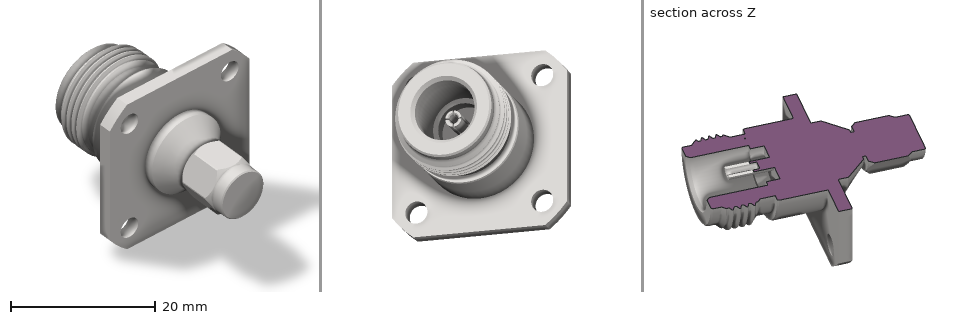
import cadquery as cq
import math


barrel_radius = 6.86
mouth_chamfer = 0.25
collar_start = 1.5
collar_end = 7.12

thread_crest_radius = 7.95
thread_root_radius = 7.35
thread_pitch = 25.4 / 24
thread_crest_width = 0.13
thread_base_width = 0.75
thread_overlap = 0.1
trim_clearance = 0.05
helix_start = 0.97
helix_turns = 6.5

shoulder_radius = 7.94
shoulder_start = 9.28
shoulder_chamfer_length = 0.25
shoulder_chamfer_height = 0.12

flange_side = 25.4
flange_corner_radius = 15.9
flange_start = 16.64
flange_thickness = 2.06
flange_end = flange_start + flange_thickness
mount_hole_diameter = 3.2
mount_hole_spacing = 18.26

rear_radius = 6.27
cone_start = 20.15
cone_end = 23.37
cone_end_radius = 3.24
neck_radius = 2.72

nut_start = 23.8
nut_end = 30.2
nut_across_flats = 7.88
nut_corner_radius = 4.49
nut_end_radius = 3.86
nut_chamfer_length = 0.75
sleeve_radius = 3.86
sleeve_chamfer = 0.17
total_length = 32.23

socket_radius = 4.33
socket_mouth_radius = 4.84
socket_depth = 9.0
inner_bore_radius = 3.58
inner_bore_end = 11.0
contact_radius = 1.17
contact_start = 4.5
contact_bore_radius = 0.67
contact_bore_mouth_radius = 0.86
contact_bore_end = 9.0
slot_width = 0.2
slot_end = 8.0


def turned(profile):
    """Revolve a closed (x, radius) outline about the X axis."""
    return cq.Workplane("XY").polyline(profile).close().revolve(360, (0, 0, 0), (1, 0, 0))


def cylinder(start, end, radius):
    return cq.Workplane("YZ", origin=(start, 0, 0)).circle(radius).extrude(end - start)


def make_barrel():
    return turned([
        (0, 0),
        (0, barrel_radius - mouth_chamfer),
        (mouth_chamfer, barrel_radius),
        (shoulder_start, barrel_radius),
        (shoulder_start, shoulder_radius - shoulder_chamfer_height),
        (shoulder_start + shoulder_chamfer_length, shoulder_radius),
        (flange_start, shoulder_radius),
        (flange_start, 0),
    ])


def make_collar(radius):
    """Round collar with 45 degree ends that rise from the barrel surface."""
    rise = radius - barrel_radius
    return turned([
        (collar_start, 0),
        (collar_start, barrel_radius),
        (collar_start + rise, radius),
        (collar_end - rise, radius),
        (collar_end, barrel_radius),
        (collar_end, 0),
    ])


def make_thread():
    """Right-hand helical ridge on a root cylinder, both trimmed by a collar with 45 degree ends."""
    helix = cq.Wire.makeHelix(thread_pitch, helix_turns * thread_pitch, thread_root_radius)
    flank_slope = (thread_base_width - thread_crest_width) / 2 / (thread_crest_radius - thread_root_radius)
    half_crest = thread_crest_width / 2
    half_foot = thread_base_width / 2 + thread_overlap * flank_slope
    foot_radius = thread_root_radius - thread_overlap
    ridge = (
        cq.Workplane("XZ")
        .polyline([
            (foot_radius, -half_foot),
            (thread_crest_radius, -half_crest),
            (thread_crest_radius, half_crest),
            (foot_radius, half_foot),
        ])
        .close()
        .sweep(cq.Workplane(obj=helix), isFrenet=True)
    )
    ridge = ridge.rotate((0, 0, 0), (0, 1, 0), 90).translate((helix_start, 0, 0))
    root = cylinder(0, shoulder_start, thread_root_radius)
    return root.union(ridge).intersect(make_collar(thread_crest_radius + trim_clearance))


def make_flange():
    """Square plate whose corners are rounded off by a large concentric circle."""
    plate = (
        cq.Workplane("YZ", origin=(flange_start, 0, 0))
        .rect(flange_side, flange_side)
        .extrude(flange_thickness)
        .intersect(cylinder(flange_start, flange_end, flange_corner_radius))
    )
    holes = (
        cq.Workplane("YZ", origin=(flange_start, 0, 0))
        .rect(mount_hole_spacing, mount_hole_spacing, forConstruction=True)
        .vertices()
        .circle(mount_hole_diameter / 2)
        .extrude(flange_thickness)
    )
    return plate.cut(holes)


def make_rear_body():
    return turned([
        (flange_end, 0),
        (flange_end, rear_radius),
        (cone_start, rear_radius),
        (cone_end, cone_end_radius),
        (cone_end, neck_radius),
        (nut_start, neck_radius),
        (nut_start, 0),
    ])


def make_nut():
    """Hexagon with flats facing +Z and -Z, turned corners and conical ends."""
    across_corners = nut_across_flats / math.cos(math.pi / 6)
    hexagon = (
        cq.Workplane("YZ", origin=(nut_start, 0, 0))
        .polygon(6, across_corners)
        .extrude(nut_end - nut_start)
    )
    envelope = turned([
        (nut_start, 0),
        (nut_start, nut_end_radius),
        (nut_start + nut_chamfer_length, nut_corner_radius),
        (nut_end - nut_chamfer_length, nut_corner_radius),
        (nut_end, nut_end_radius),
        (nut_end, 0),
    ])
    return hexagon.intersect(envelope)


def make_sleeve():
    return turned([
        (nut_end, 0),
        (nut_end, sleeve_radius),
        (total_length - sleeve_chamfer, sleeve_radius),
        (total_length, sleeve_radius - sleeve_chamfer),
        (total_length, 0),
    ])


def make_socket():
    """Stepped bore with a 45 degree mouth."""
    mouth_chamfer_depth = socket_mouth_radius - socket_radius
    return turned([
        (0, 0),
        (0, socket_mouth_radius),
        (mouth_chamfer_depth, socket_radius),
        (socket_depth, socket_radius),
        (socket_depth, inner_bore_radius),
        (inner_bore_end, inner_bore_radius),
        (inner_bore_end, 0),
    ])


def make_contact():
    """Hollow pin with a countersunk bore and crossed slots in its tip."""
    pin = cylinder(contact_start, inner_bore_end, contact_radius)
    countersink_depth = contact_bore_mouth_radius - contact_bore_radius
    bore = turned([
        (contact_start, 0),
        (contact_start, contact_bore_mouth_radius),
        (contact_start + countersink_depth, contact_bore_radius),
        (contact_bore_end, contact_bore_radius),
        (contact_bore_end, 0),
    ])
    pin = pin.cut(bore)
    for slot_angle in (0, 90):
        slot = (
            cq.Workplane("YZ", origin=(contact_start, 0, 0))
            .rect(2 * contact_radius, slot_width)
            .extrude(slot_end - contact_start)
            .rotate((0, 0, 0), (1, 0, 0), slot_angle)
        )
        pin = pin.cut(slot)
    return pin


result = (
    make_barrel()
    .union(make_thread())
    .union(make_flange())
    .union(make_rear_body())
    .union(make_nut())
    .union(make_sleeve())
    .cut(make_socket())
    .union(make_contact())
)